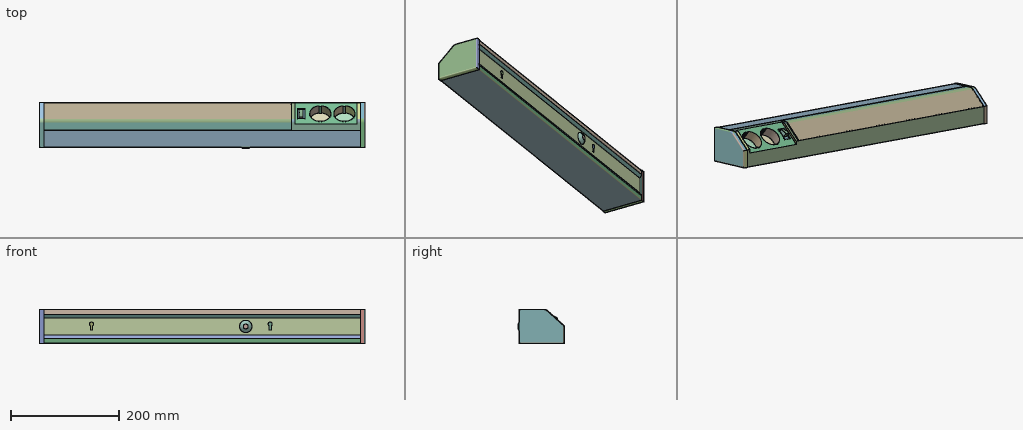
import cadquery as cq
import math

LENGTH = 602.0
DEPTH = 83.5
HEIGHT = 63.5

SLOPE_FOOT_Z = 33.0
SLOPE_ANGLE = 42.0
RIDGE_RADIUS = 11.0
slope_sin = math.sin(math.radians(SLOPE_ANGLE))
slope_cos = math.cos(math.radians(SLOPE_ANGLE))
ridge_y = DEPTH - (HEIGHT - SLOPE_FOOT_Z) * slope_cos / slope_sin

CAP_WIDTH = 8.5
CAP_FILLET = 2.0
CAP_LIP = 0.4
BACK_EDGE_FILLET = 1.0
span = LENGTH - 2 * CAP_WIDTH

STEP_Y = 31.5
STEP_DROP = 0.5

LENS_END_X = 465.5
LENS_THICKNESS = 2.5
LENS_GAP = 1.0
lens_y = STEP_Y + LENS_GAP

CHANNEL_EDGE = 8.6
CHANNEL_FLOOR_EDGE = 16.2
CHANNEL_DEPTH = 4.0

KEYHOLE_XS = (96.5, 426.5)
KEYHOLE_HEAD_Z = 36.2
KEYHOLE_HEAD_DIAMETER = 7.5
KEYHOLE_SLOT_WIDTH = 4.0
KEYHOLE_SLOT_BOTTOM_Z = 25.0
KEYHOLE_DEPTH = 4.0
GLAND_X = 381.3
GLAND_SPHERE_DIAMETER = 26.0
GLAND_HEIGHT = 6.0
GLAND_TIP_DIAMETER = 9.0

PANEL_START_X = 472.5
PANEL_END_X = 586.5
PANEL_DEPTH = 5.0
PANEL_CENTRE_Y = 62.7
SOCKET_DIAMETER = 39.0
SOCKET_DEPTH = 20.0
SOCKET_XS = (519.0, 563.5)
EARTH_CLIP_WIDTH = 5.0
EARTH_CLIP_THICKNESS = 1.5
SWITCH_X = 483.7
SWITCH_WIDTH = 13.5
SWITCH_LENGTH = 24.5
SWITCH_DEPTH = 2.5
ROCKER_WIDTH = 7.5
ROCKER_UPPER_END = -10.0
ROCKER_LOWER_END = 5.0
ROCKER_LOW = 2.0
ROCKER_HIGH = 7.0
ROCKER_CROWN = 1.0


def section_bar(start_x, length, inset):
    """Bar along X with the five-sided cross-section, drawn in by inset all round."""
    upper_y = ridge_y - inset * (1 - slope_cos) / slope_sin
    foot_z = SLOPE_FOOT_Z - inset * (1 - slope_sin) / slope_cos
    outline = [
        (inset, inset),
        (DEPTH - inset, inset),
        (DEPTH - inset, foot_z),
        (upper_y, HEIGHT - inset),
        (inset, HEIGHT - inset),
    ]
    bar = cq.Workplane("YZ", origin=(start_x, 0, 0)).polyline(outline).close().extrude(length)
    ridge = cq.selectors.NearestToPointSelector((start_x + length / 2, upper_y, HEIGHT - inset))
    return bar.edges(ridge).fillet(RIDGE_RADIUS - inset)


def front_upper_region(start_x, end_x, start_y):
    """Block holding everything in front of start_y and above the foot of the slope."""
    corner = cq.Workplane("XY", origin=(start_x, start_y, SLOPE_FOOT_Z))
    return corner.box(end_x - start_x, DEPTH - start_y, HEIGHT - SLOPE_FOOT_Z, centered=False)


def slope_plane(x):
    """Plane on the panel floor at x: local x along the part, local y down the slope."""
    floor_z = HEIGHT - ((PANEL_CENTRE_Y - ridge_y) * slope_sin + PANEL_DEPTH) / slope_cos
    return cq.Workplane(cq.Plane((x, PANEL_CENTRE_Y, floor_z), (1, 0, 0), (0, slope_sin, slope_cos)))


def channel():
    """Flared trough running between the end caps, widest at the back face."""
    outline = [
        (0, CHANNEL_EDGE),
        (CHANNEL_DEPTH, CHANNEL_FLOOR_EDGE),
        (CHANNEL_DEPTH, HEIGHT - CHANNEL_FLOOR_EDGE),
        (0, HEIGHT - CHANNEL_EDGE),
    ]
    return cq.Workplane("YZ", origin=(CAP_WIDTH, 0, 0)).polyline(outline).close().extrude(span)


def keyhole(x, floor_y):
    wall = cq.Workplane("XZ", origin=(x, floor_y, 0))
    head = wall.center(0, KEYHOLE_HEAD_Z).circle(KEYHOLE_HEAD_DIAMETER / 2).extrude(-KEYHOLE_DEPTH)
    slot_length = KEYHOLE_HEAD_Z - KEYHOLE_SLOT_BOTTOM_Z
    slot = (
        wall.center(0, KEYHOLE_HEAD_Z - slot_length / 2)
        .rect(KEYHOLE_SLOT_WIDTH, slot_length)
        .extrude(-KEYHOLE_DEPTH)
    )
    return head.union(slot)


def cable_gland(floor_y):
    """Dome cut from a sphere, with a flat tip."""
    sphere_radius = GLAND_SPHERE_DIAMETER / 2
    tip_radius = GLAND_TIP_DIAMETER / 2
    tip_y = floor_y - GLAND_HEIGHT
    sphere_y = tip_y + math.sqrt(sphere_radius**2 - tip_radius**2)
    sphere = cq.Workplane("XY", origin=(GLAND_X, sphere_y, HEIGHT / 2)).sphere(sphere_radius)
    tip = cq.Workplane("XZ", origin=(GLAND_X, tip_y, HEIGHT / 2))
    slab = tip.rect(GLAND_SPHERE_DIAMETER, GLAND_SPHERE_DIAMETER).extrude(-GLAND_HEIGHT)
    return sphere.intersect(slab)


def panel_recess():
    """Everything above the panel floor, between the two ends of the panel."""
    centre_x = (PANEL_START_X + PANEL_END_X) / 2
    return slope_plane(centre_x).rect(PANEL_END_X - PANEL_START_X, DEPTH).extrude(HEIGHT / 2)


def socket_well(x):
    """Round well with an earth clip left standing on its upper and lower walls."""
    well = slope_plane(x).circle(SOCKET_DIAMETER / 2).extrude(-SOCKET_DEPTH)
    clip_centre = (SOCKET_DIAMETER - EARTH_CLIP_THICKNESS) / 2
    clips = (
        slope_plane(x)
        .pushPoints([(0, clip_centre), (0, -clip_centre)])
        .rect(EARTH_CLIP_WIDTH, EARTH_CLIP_THICKNESS)
        .extrude(-SOCKET_DEPTH)
    )
    return well.cut(clips)


def switch_recess():
    return slope_plane(SWITCH_X).rect(SWITCH_WIDTH, SWITCH_LENGTH).extrude(-SWITCH_DEPTH)


def rocker():
    """Rocker standing in the switch recess, crowned and highest at its lower end."""
    crown = (
        (ROCKER_UPPER_END + ROCKER_LOWER_END) / 2,
        (ROCKER_LOW + ROCKER_HIGH) / 2 + ROCKER_CROWN,
    )
    return (
        slope_plane(SWITCH_X - ROCKER_WIDTH / 2)
        .transformed(rotate=(90, 90, 0))
        .moveTo(ROCKER_UPPER_END, -SWITCH_DEPTH)
        .lineTo(ROCKER_LOWER_END, -SWITCH_DEPTH)
        .lineTo(ROCKER_LOWER_END, ROCKER_HIGH)
        .threePointArc(crown, (ROCKER_UPPER_END, ROCKER_LOW))
        .close()
        .extrude(ROCKER_WIDTH)
    )


def end_cap(start_x, outer_face):
    """Cap rounded all round its outer face."""
    return section_bar(start_x, CAP_WIDTH, 0).faces(outer_face).edges().fillet(CAP_FILLET)


def lens():
    """Bent sheet from the step, over the ridge, down to the foot of the slope."""
    outer = section_bar(CAP_WIDTH, LENS_END_X - CAP_WIDTH, CAP_LIP)
    inner = section_bar(CAP_WIDTH, LENS_END_X - CAP_WIDTH, CAP_LIP + LENS_THICKNESS)
    return outer.cut(inner).intersect(front_upper_region(CAP_WIDTH, LENS_END_X, lens_y))


def housing(lens_body):
    """Extrusion and end caps in one piece, with a bed cut to the shape of the lens."""
    stepped = section_bar(CAP_WIDTH, span, CAP_LIP + STEP_DROP)
    back = section_bar(CAP_WIDTH, span, CAP_LIP).faces("<Y").edges("|X").fillet(BACK_EDGE_FILLET)
    step = front_upper_region(CAP_WIDTH, LENGTH - CAP_WIDTH, STEP_Y)
    body = back.cut(step.cut(stepped))
    body = body.cut(lens_body).cut(channel())
    body = body.union(end_cap(0, "<X")).union(end_cap(LENGTH - CAP_WIDTH, ">X"))

    for x in KEYHOLE_XS:
        body = body.cut(keyhole(x, CHANNEL_DEPTH))
    body = body.union(cable_gland(CHANNEL_DEPTH))

    body = body.cut(panel_recess())
    for x in SOCKET_XS:
        body = body.cut(socket_well(x))
    return body.cut(switch_recess()).union(rocker())


lens_body = lens()
housing_body = housing(lens_body)
result = cq.Compound.makeCompound([housing_body.val(), lens_body.val()])